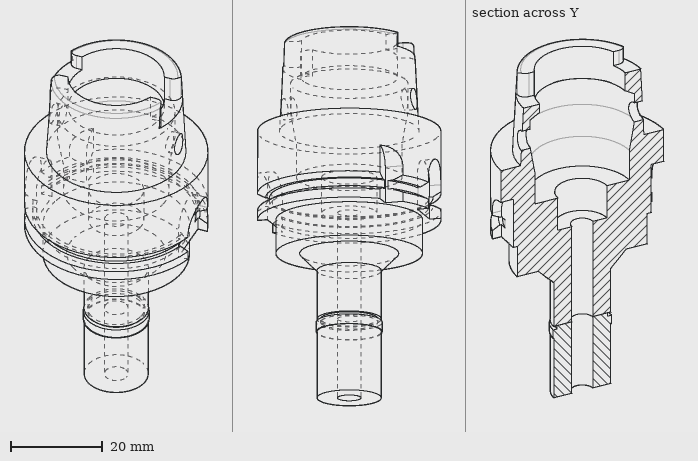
import cadquery as cq
import math

TOTAL_HEIGHT = 80.0
TAPER_LENGTH = 20.0
FLANGE_HEIGHT = 20.0
FLANGE_TOP = TOTAL_HEIGHT - TAPER_LENGTH
FLANGE_BOTTOM = FLANGE_TOP - FLANGE_HEIGHT
COLLAR_BOTTOM = 32.5
CONE_BOTTOM = 28.6
NOSE_END = 17.8

TAPER_BASE_RADIUS = 15.2
TAPER_RATIO = 1 / 10
TAPER_TOP_RADIUS = TAPER_BASE_RADIUS - TAPER_LENGTH * TAPER_RATIO / 2
RIM_ROUNDING = 0.8

FLANGE_RADIUS = 20.0
GROOVE_FLOOR_DIAMETER = 34.8
GROOVE_FLOOR_RADIUS = GROOVE_FLOOR_DIAMETER / 2
GROOVE_LEDGE_RADIUS = 18.2
GROOVE_CENTRE = FLANGE_TOP - 16.0
GROOVE_FLOOR_WIDTH = 1.9
GROOVE_MOUTH_WIDTH = 3.8

COLLAR_RADIUS = 16.0
CONE_TOP_RADIUS = 10.8
NOSE_DIAMETER = 14.0
NOSE_RADIUS = NOSE_DIAMETER / 2

CLAMP_BORE_RADIUS = 10.5
CLAMP_BORE_DEPTH = 8.0
UNDERCUT_RADIUS = 12.8
UNDERCUT_BOTTOM = 64.2
UPPER_FLANK_ANGLE = 30.0
LOWER_FLANK_ANGLE = 80.0
CLAMP_CHAMBER_RADIUS = 11.5
CLAMP_FLOOR = 49.6
INNER_BORE_RADIUS = 6.0
INNER_BORE_DEPTH = 8.0
COOLANT_RADIUS = 2.6

CROSS_HOLE_RADIUS = 2.3
CROSS_HOLE_HEIGHT = 66.1

DRIVE_SLOT_WIDTH = 8.0
DRIVE_LUG_REACH = 12.9
DRIVE_LUG_ROUNDING = 1.8
SHALLOW_DRIVE_DEPTH = 3.4
DEEP_DRIVE_DEPTH = 5.8

KEY_SLOT_TOP = 52.0
KEY_SLOT_FLOOR = 17.0
NARROW_KEY_WIDTH = 9.0
WIDE_KEY_WIDTH = 11.0
NOTCH_WIDTH = 8.0
NOTCH_FLOOR = 12.0
NOTCH_CENTRE = 16.0

NECK_RADIUS = 6.2
RING_RADIUS = 7.2
RING_TOP = 17.0
RING_BOTTOM = 14.9
SHANK_RADIUS = NOSE_RADIUS


def revolve_profile(profile):
    """Turn a closed (radius, height) outline about the Z axis."""
    return profile.close().revolve(360, (0, 0, 0), (0, 1, 0))


def cylinder(radius, bottom, top):
    return cq.Workplane("XY").workplane(offset=bottom).circle(radius).extrude(top - bottom)


def make_turned_blank():
    mouth = GROOVE_MOUTH_WIDTH / 2
    floor = GROOVE_FLOOR_WIDTH / 2
    profile = (
        cq.Workplane("XZ")
        .moveTo(0, NOSE_END)
        .lineTo(NOSE_RADIUS, NOSE_END)
        .lineTo(NOSE_RADIUS, CONE_BOTTOM)
        .lineTo(CONE_TOP_RADIUS, COLLAR_BOTTOM)
        .lineTo(COLLAR_RADIUS, COLLAR_BOTTOM)
        .lineTo(COLLAR_RADIUS, FLANGE_BOTTOM)
        .lineTo(FLANGE_RADIUS, FLANGE_BOTTOM)
        .lineTo(FLANGE_RADIUS, GROOVE_CENTRE - mouth)
        .lineTo(GROOVE_LEDGE_RADIUS, GROOVE_CENTRE - floor)
        .lineTo(GROOVE_FLOOR_RADIUS, GROOVE_CENTRE - floor)
        .lineTo(GROOVE_FLOOR_RADIUS, GROOVE_CENTRE + floor)
        .lineTo(GROOVE_LEDGE_RADIUS, GROOVE_CENTRE + floor)
        .lineTo(FLANGE_RADIUS, GROOVE_CENTRE + mouth)
        .lineTo(FLANGE_RADIUS, FLANGE_TOP)
        .lineTo(TAPER_BASE_RADIUS, FLANGE_TOP)
        .lineTo(TAPER_TOP_RADIUS, TOTAL_HEIGHT)
        .lineTo(0, TOTAL_HEIGHT)
    )
    return revolve_profile(profile).faces(">Z").edges().fillet(RIM_ROUNDING)


def make_bores():
    """Clamping bore with its undercut, inner bore and coolant hole as one cutter."""
    lip = TOTAL_HEIGHT - CLAMP_BORE_DEPTH
    upper_flank = (UNDERCUT_RADIUS - CLAMP_BORE_RADIUS) * math.tan(math.radians(UPPER_FLANK_ANGLE))
    lower_flank = (UNDERCUT_RADIUS - CLAMP_CHAMBER_RADIUS) * math.tan(math.radians(LOWER_FLANK_ANGLE))
    inner_floor = CLAMP_FLOOR - INNER_BORE_DEPTH
    profile = (
        cq.Workplane("XZ")
        .moveTo(0, NOSE_END)
        .lineTo(COOLANT_RADIUS, NOSE_END)
        .lineTo(COOLANT_RADIUS, inner_floor)
        .lineTo(INNER_BORE_RADIUS, inner_floor)
        .lineTo(INNER_BORE_RADIUS, CLAMP_FLOOR)
        .lineTo(CLAMP_CHAMBER_RADIUS, CLAMP_FLOOR)
        .lineTo(CLAMP_CHAMBER_RADIUS, UNDERCUT_BOTTOM - lower_flank)
        .lineTo(UNDERCUT_RADIUS, UNDERCUT_BOTTOM)
        .lineTo(UNDERCUT_RADIUS, lip - upper_flank)
        .lineTo(CLAMP_BORE_RADIUS, lip)
        .lineTo(CLAMP_BORE_RADIUS, TOTAL_HEIGHT)
        .lineTo(0, TOTAL_HEIGHT)
    )
    return revolve_profile(profile)


def make_cross_hole():
    return (
        cq.Workplane("YZ")
        .center(0, CROSS_HOLE_HEIGHT)
        .circle(CROSS_HOLE_RADIUS)
        .extrude(TAPER_BASE_RADIUS, both=True)
    )


def make_drive_slot(side, depth):
    """Rim cut on one X side: a slot that flares, past rounded lug corners, into a flat."""
    half_slot = DRIVE_SLOT_WIDTH / 2
    flare = half_slot + DRIVE_LUG_ROUNDING
    bend = DRIVE_LUG_ROUNDING * (1 - math.sqrt(0.5))
    straight_end = DRIVE_LUG_REACH - DRIVE_LUG_ROUNDING
    profile = (
        cq.Workplane("XY")
        .workplane(offset=TOTAL_HEIGHT - depth)
        .moveTo(0, -half_slot)
        .lineTo(side * straight_end, -half_slot)
        .threePointArc(
            (side * (DRIVE_LUG_REACH - bend), -half_slot - bend),
            (side * DRIVE_LUG_REACH, -flare),
        )
        .lineTo(side * DRIVE_LUG_REACH, -TAPER_BASE_RADIUS)
        .lineTo(side * TAPER_BASE_RADIUS, -TAPER_BASE_RADIUS)
        .lineTo(side * TAPER_BASE_RADIUS, TAPER_BASE_RADIUS)
        .lineTo(side * DRIVE_LUG_REACH, TAPER_BASE_RADIUS)
        .lineTo(side * DRIVE_LUG_REACH, flare)
        .threePointArc(
            (side * (DRIVE_LUG_REACH - bend), half_slot + bend),
            (side * straight_end, half_slot),
        )
        .lineTo(0, half_slot)
    )
    return profile.close().extrude(depth)


def make_flange_slot(side, floor, centre, width):
    """Round-topped slot from the flange underside, cut inward along X to a flat floor."""
    radius = width / 2
    arc_height = KEY_SLOT_TOP - radius
    profile = (
        cq.Workplane("YZ")
        .workplane(offset=side * floor)
        .moveTo(centre - radius, FLANGE_BOTTOM)
        .lineTo(centre + radius, FLANGE_BOTTOM)
        .lineTo(centre + radius, arc_height)
        .threePointArc((centre, KEY_SLOT_TOP), (centre - radius, arc_height))
    )
    return profile.close().extrude(side * (FLANGE_RADIUS - floor))


def make_holder():
    return (
        make_turned_blank()
        .cut(make_bores())
        .cut(make_cross_hole())
        .cut(make_drive_slot(-1, SHALLOW_DRIVE_DEPTH))
        .cut(make_drive_slot(1, DEEP_DRIVE_DEPTH))
        .cut(make_flange_slot(-1, KEY_SLOT_FLOOR, 0, NARROW_KEY_WIDTH))
        .cut(make_flange_slot(1, KEY_SLOT_FLOOR, 0, WIDE_KEY_WIDTH))
        .cut(make_flange_slot(-1, NOTCH_FLOOR, NOTCH_CENTRE, NOTCH_WIDTH))
    )


def make_shank():
    """Hollow shank whose neck butts against the end of the holder's nose."""
    return (
        cylinder(SHANK_RADIUS, 0, RING_BOTTOM)
        .union(cylinder(RING_RADIUS, RING_BOTTOM, RING_TOP))
        .union(cylinder(NECK_RADIUS, RING_TOP, NOSE_END))
        .cut(cylinder(COOLANT_RADIUS, 0, NOSE_END))
    )


holder = make_holder()
shank = make_shank()

result = cq.Compound.makeCompound([holder.val(), shank.val()])